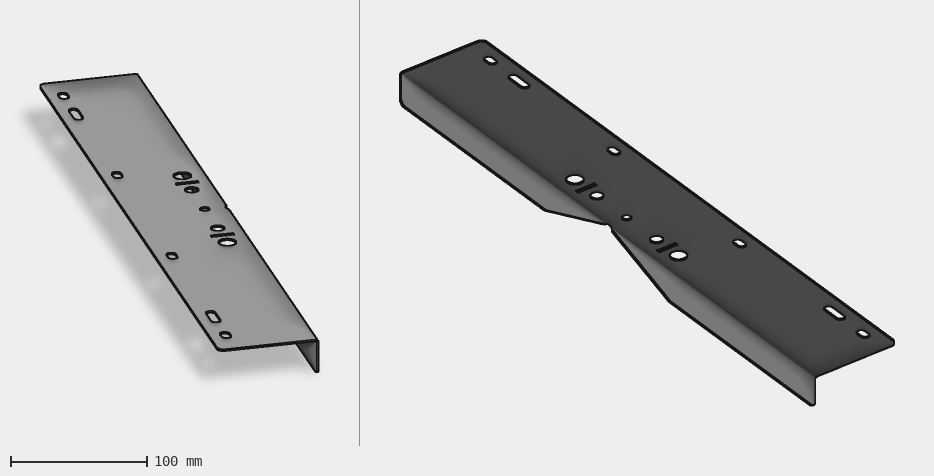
import cadquery as cq

length = 508.0
depth = 76.0
height = 28.0
thickness = 1.5
bend_outer_radius = 3.0
bend_inner_radius = bend_outer_radius - thickness
corner_radius = 5.0

relief_half_width = 76.0
relief_tip_half_width = 6.0
bend_notch_depth = 2.5

hole_row_y = 58.0
centre_hole_diameter = 7.0
inner_hole_diameter = 10.0
inner_hole_x = 36.5
outer_hole_diameter = 13.0
outer_hole_x = 63.5
slit_x = 50.0
slit_width = 3.0
slit_length = 17.0

slot_row_y = 12.0
slot_width = 7.0
slots = [(77.0, 11.5), (193.5, 21.5), (228.5, 11.5)]

half_length = length / 2


def make_angle():
    """Top plate with a flange bent down along its back edge."""
    profile = (
        cq.Workplane("YZ")
        .moveTo(0, height)
        .lineTo(depth - bend_outer_radius, height)
        .radiusArc((depth, height - bend_outer_radius), bend_outer_radius)
        .lineTo(depth, 0)
        .lineTo(depth - thickness, 0)
        .lineTo(depth - thickness, height - bend_outer_radius)
        .radiusArc((depth - bend_outer_radius, height - thickness), -bend_inner_radius)
        .lineTo(0, height - thickness)
        .close()
    )
    angle = profile.extrude(half_length, both=True)
    angle = angle.faces("<Y").edges("|Z").fillet(corner_radius)
    return angle.faces("<Z").edges("|Y").fillet(corner_radius)


def make_flange_relief():
    """Tapered opening that removes the middle of the flange up to the bend."""
    bend_z = height - bend_outer_radius
    return (
        cq.Workplane("XZ", origin=(0, depth, 0))
        .moveTo(-relief_half_width, 0)
        .lineTo(-relief_tip_half_width, bend_z)
        .lineTo(relief_tip_half_width, bend_z)
        .lineTo(relief_half_width, 0)
        .close()
        .extrude(thickness)
    )


def make_bend_notch():
    """Rounded tip of the relief, carried through the bend into the back edge."""
    return (
        cq.Workplane("XY", origin=(0, 0, height - bend_outer_radius))
        .moveTo(-relief_tip_half_width, depth)
        .threePointArc((0, depth - bend_notch_depth), (relief_tip_half_width, depth))
        .close()
        .extrude(bend_outer_radius)
    )


def plate_points(distance, y):
    """Mirrored pair of positions on the top plate."""
    return cq.Workplane("XY").pushPoints([(-distance, y), (distance, y)])


def make_round_holes():
    centre = cq.Workplane("XY").center(0, hole_row_y).circle(centre_hole_diameter / 2).extrude(height)
    inner = plate_points(inner_hole_x, hole_row_y).circle(inner_hole_diameter / 2).extrude(height)
    outer = plate_points(outer_hole_x, hole_row_y).circle(outer_hole_diameter / 2).extrude(height)
    return centre.union(inner).union(outer)


def make_slits():
    return plate_points(slit_x, hole_row_y).rect(slit_width, slit_length).extrude(height)


result = make_angle().cut(make_flange_relief()).cut(make_bend_notch())
result = result.cut(make_round_holes()).cut(make_slits())
for slot_x, slot_length in slots:
    slot_pair = plate_points(slot_x, slot_row_y).slot2D(slot_length, slot_width).extrude(height)
    result = result.cut(slot_pair)